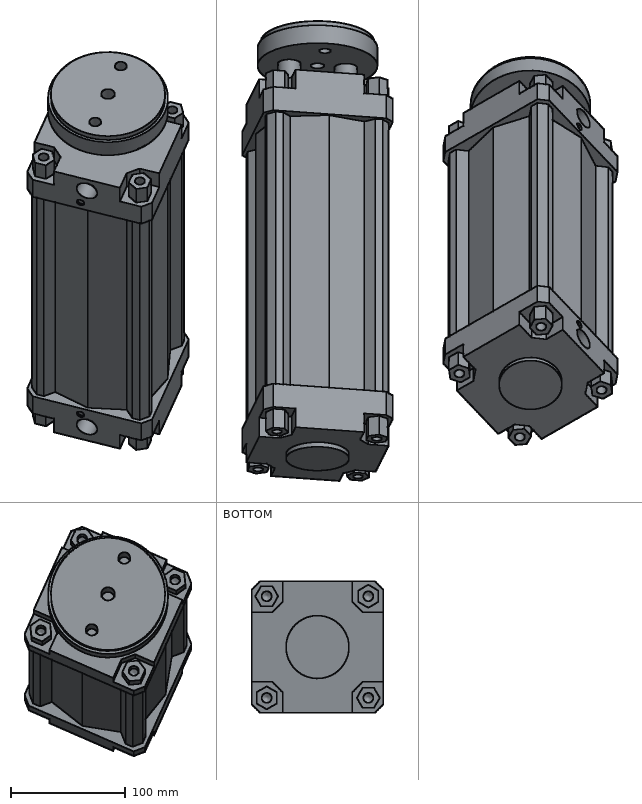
import cadquery as cq
import math

total_height = 393.0
boss_height = 4.5
head_height = 39.5
front_head_top = 342.0
front_head_bottom = front_head_top - head_height
rear_head_top = boss_height + head_height

head_width = 115.0
head_chamfer = 7.5
corner_pocket_size = 27.0
corner_pocket_depth = 17.5
pocket_inner_chamfer = 9.0
boss_diameter = 55.0

nut_offset = 44.5
nut_corner_diameter = 20.0
nut_hole_diameter = 8.5
nut_hole_depth = 11.8
drill_point_angle = 118.0

port_diameter = 19.0
port_depth = 15.7
front_port_z = 327.5
rear_port_z = 22.0
screw_hole_diameter = 6.5
screw_hole_depth = 2.0
screw_hole_x = -6.0
front_screw_hole_z = 310.0
rear_screw_hole_z = 36.0

ridge_distance = 55.0
lobe_distance = 54.2
lobe_chamfer = 6.5
groove_offset = 33.0
groove_depth = 8.0

plate_diameter = 105.0
plate_thickness = 22.0
plate_step_diameter = 100.0
plate_step_height = 5.0
plate_center_hole_diameter = 11.8
plate_side_hole_diameter = 10.2
plate_side_hole_offset = 35.0
rod_diameter = 20.0
rod_offset = 25.0

SIDE_ANGLES = (0, 90, 180, 270)


def rotate_point(x, y, degrees):
    """Turn a point about the cylinder axis."""
    angle = math.radians(degrees)
    return (
        x * math.cos(angle) - y * math.sin(angle),
        x * math.sin(angle) + y * math.cos(angle),
    )


def make_corner_pocket(angle):
    """Cutter for the (+X, +Y) corner of a head, its inner corner bevelled, turned by angle."""
    inner = head_width / 2 - corner_pocket_size
    outer = head_width / 2
    bevel_end = inner + pocket_inner_chamfer
    return (
        cq.Workplane("XY")
        .polyline([(bevel_end, inner), (outer, inner), (outer, outer), (inner, outer), (inner, bevel_end)])
        .close()
        .extrude(corner_pocket_depth)
        .rotate((0, 0, 0), (0, 0, 1), angle)
    )


def make_nut(angle):
    """Hexagonal nut in the (+X, +Y) corner with a drilled hole from the top, turned by angle."""
    hole_radius = nut_hole_diameter / 2
    point_height = hole_radius / math.tan(math.radians(drill_point_angle / 2))
    hole_bottom = corner_pocket_depth - nut_hole_depth
    nut = cq.Workplane("XY").polygon(6, nut_corner_diameter).extrude(corner_pocket_depth)
    drill = (
        cq.Workplane("XZ")
        .polyline([
            (0, hole_bottom - point_height),
            (hole_radius, hole_bottom),
            (hole_radius, corner_pocket_depth),
            (0, corner_pocket_depth),
        ])
        .close()
        .revolve(360, (0, 0, 0), (0, 1, 0))
    )
    return nut.cut(drill).translate((nut_offset, nut_offset, 0)).rotate((0, 0, 0), (0, 0, 1), angle)


def make_head():
    """Head standing on Z = 0 with its pockets and nuts at the top."""
    head = (
        cq.Workplane("XY")
        .rect(head_width, head_width)
        .extrude(head_height)
        .edges("|Z")
        .chamfer(head_chamfer)
    )
    pocket_floor = (0, 0, head_height - corner_pocket_depth)
    for angle in SIDE_ANGLES:
        head = head.cut(make_corner_pocket(angle).translate(pocket_floor))
        head = head.union(make_nut(angle).translate(pocket_floor))
    return head


def make_side_hole(x, z, diameter, depth):
    """Cutter for a blind hole bored into the -Y side of a head."""
    return (
        cq.Workplane("XZ", origin=(x, -head_width / 2, z))
        .circle(diameter / 2)
        .extrude(-depth)
    )


def make_barrel():
    """Barrel between the heads, with the same outline on all four sides."""
    groove_floor = lobe_distance - groove_depth
    lobe_start = groove_offset + groove_depth
    lobe_end = lobe_distance - lobe_chamfer
    side = [
        (-lobe_end, -lobe_distance),
        (-lobe_start, -lobe_distance),
        (-groove_offset, -groove_floor),
        (0, -ridge_distance),
        (groove_offset, -groove_floor),
        (lobe_start, -lobe_distance),
        (lobe_end, -lobe_distance),
    ]
    outline = [rotate_point(x, y, angle) for angle in SIDE_ANGLES for x, y in side]
    return (
        cq.Workplane("XY", origin=(0, 0, rear_head_top))
        .polyline(outline)
        .close()
        .extrude(front_head_bottom - rear_head_top)
    )


def make_housing():
    """Barrel, both heads, nuts and centring boss as one body."""
    front_head = make_head().translate((0, 0, front_head_bottom))
    rear_head = (
        make_head()
        .mirror("XY")
        .translate((0, 0, rear_head_top))
    )
    boss = cq.Workplane("XY").circle(boss_diameter / 2).extrude(boss_height)
    housing = make_barrel().union(front_head).union(rear_head).union(boss)
    for port_z in (front_port_z, rear_port_z):
        housing = housing.cut(make_side_hole(0, port_z, port_diameter, port_depth))
    for hole_z in (front_screw_hole_z, rear_screw_hole_z):
        housing = housing.cut(make_side_hole(screw_hole_x, hole_z, screw_hole_diameter, screw_hole_depth))
    return housing


def make_tool_plate():
    """Stepped round plate with through holes, on two rods that end at the front head."""
    plate_bottom = total_height - plate_thickness
    plate = (
        cq.Workplane("XY", origin=(0, 0, plate_bottom))
        .circle(plate_diameter / 2)
        .extrude(plate_thickness - plate_step_height)
        .faces(">Z")
        .workplane()
        .circle(plate_step_diameter / 2)
        .extrude(plate_step_height)
    )
    plate = plate.faces(">Z").workplane().hole(plate_center_hole_diameter)
    plate = (
        plate.faces(">Z")
        .workplane(origin=(0, 0, total_height))
        .pushPoints([(0, -plate_side_hole_offset), (0, plate_side_hole_offset)])
        .hole(plate_side_hole_diameter)
    )
    rods = (
        cq.Workplane("XY", origin=(0, 0, front_head_top))
        .pushPoints([(-rod_offset, 0), (rod_offset, 0)])
        .circle(rod_diameter / 2)
        .extrude(plate_bottom - front_head_top)
    )
    return plate.union(rods)


housing = make_housing()
tool_plate = make_tool_plate()

result = cq.Compound.makeCompound([housing.val(), tool_plate.val()])